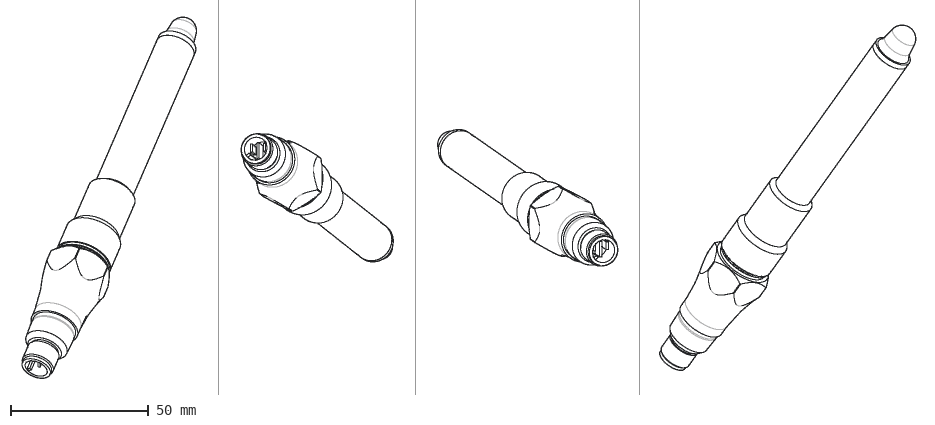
import cadquery as cq
import math

TOTAL_LENGTH = 166.05

SLEEVE_RADIUS = 12.0 / 2
SLEEVE_NOSE_RADIUS = 11.0 / 2
SLEEVE_RELIEF_RADIUS = 10.6 / 2
SLEEVE_CHAMFER_END = 1.75
SLEEVE_CHAMFER_START = 1.25
SLEEVE_END = 8.0
RELIEF_END = 9.25

GLAND_FRONT_RADIUS = 13.0 / 2
GLAND_SHOULDER_RADIUS = 16.0 / 2
GLAND_RADIUS = 16.6 / 2
GLAND_SHOULDER_Y = 11.25
GLAND_TAPER_END = 17.75
GLAND_NECK_RADIUS = 16.4 / 2
GLAND_NECK_START = 18.25
GLAND_NECK_END = 20.0

BODY_RADIUS = 18.0 / 2
BODY_CYLINDER_END = 23.75
FLARE_NARROW_RADIUS = 19.0 / 2
FLARE_NARROW_Y = 29.75
FLARE_WIDE_RADIUS = 10.88
FLARE_WIDE_Y = 37.0

HEX_ACROSS_FLATS = 22.0
HEX_TURNED_RADIUS = 25.2 / 2
HEX_CORNER_START = 42.75
HEX_CORNER_END = 47.5
HEX_BACK = 49.25
HEX_BACK_RADIUS = 10.85

NECK_RADIUS = 19.0 / 2
NECK_STEP_RADIUS = 20.0 / 2
NECK_STEP_START = 50.75
NUT_START = 51.75

NUT_RADIUS = 20.95 / 2
NUT_END = 63.0
NUT_CONE_END = 65.3
BARREL_RADIUS = 18.0 / 2
BARREL_END = 83.0
BARREL_CHAMFER_END = 84.5

TUBE_RADIUS = 14.6 / 2
BAND_RADIUS = 14.55 / 2
BAND_START = 152.75
BAND_END = TOTAL_LENGTH - 11.25

TIP_FLARE_RADIUS = 13.0 / 2
TIP_FLARE_END = TOTAL_LENGTH - 8.25
TIP_CONE_RADIUS = 11.0 / 2
TIP_FLARE_SAG = 0.2
DOME_RADIUS = 5.0
DOME_DEPTH = 3.75

SOCKET_RADIUS = 4.25
SOCKET_DEPTH = 8.0

BLADE_THICKNESS = 0.8
BLADE_TIP_DEPTH = 3.0
SIDE_BLADE_X = 2.5
SIDE_BLADE_BOTTOM = -0.4
SIDE_BLADE_TOP = 2.5
CENTRE_BLADE_REACH = 2.9
BLADES = [
    (-SIDE_BLADE_X, SIDE_BLADE_BOTTOM, SIDE_BLADE_TOP),
    (0, -CENTRE_BLADE_REACH, CENTRE_BLADE_REACH),
    (SIDE_BLADE_X, SIDE_BLADE_BOTTOM, SIDE_BLADE_TOP),
]

KEY_ANGLE = 218
KEY_WIDTH = 1.0
KEY_INNER_RADIUS = 2.9
KEY_START_DEPTH = 0.3


def turned_body():
    dome_centre_y = TOTAL_LENGTH - DOME_RADIUS
    dome_end_angle = math.acos((DOME_RADIUS - DOME_DEPTH) / DOME_RADIUS)

    def dome_point(angle):
        return (DOME_RADIUS * math.sin(angle), dome_centre_y + DOME_RADIUS * math.cos(angle))

    tip_flare_middle = (
        (TIP_FLARE_RADIUS + TIP_CONE_RADIUS) / 2 - TIP_FLARE_SAG,
        (BAND_END + TIP_FLARE_END) / 2,
    )
    flare_points = [
        (FLARE_NARROW_RADIUS, FLARE_NARROW_Y),
        (FLARE_WIDE_RADIUS, FLARE_WIDE_Y),
        (HEX_TURNED_RADIUS, HEX_CORNER_START),
    ]
    profile = (
        cq.Workplane("XY")
        .moveTo(0, 0)
        .lineTo(SLEEVE_NOSE_RADIUS, 0)
        .lineTo(SLEEVE_NOSE_RADIUS, SLEEVE_CHAMFER_START)
        .lineTo(SLEEVE_RADIUS, SLEEVE_CHAMFER_END)
        .lineTo(SLEEVE_RADIUS, SLEEVE_END)
        .lineTo(SLEEVE_RELIEF_RADIUS, SLEEVE_END)
        .lineTo(SLEEVE_RELIEF_RADIUS, RELIEF_END)
        .lineTo(GLAND_FRONT_RADIUS, RELIEF_END)
        .lineTo(GLAND_SHOULDER_RADIUS, GLAND_SHOULDER_Y)
        .lineTo(GLAND_RADIUS, GLAND_TAPER_END)
        .lineTo(GLAND_NECK_RADIUS, GLAND_NECK_START)
        .lineTo(GLAND_NECK_RADIUS, GLAND_NECK_END)
        .lineTo(BODY_RADIUS, GLAND_NECK_END)
        .lineTo(BODY_RADIUS, BODY_CYLINDER_END)
        .spline(flare_points, includeCurrent=True)
        .lineTo(HEX_TURNED_RADIUS, HEX_CORNER_END)
        .lineTo(HEX_BACK_RADIUS, HEX_BACK)
        .lineTo(NECK_RADIUS, HEX_BACK)
        .lineTo(NECK_RADIUS, NECK_STEP_START)
        .lineTo(NECK_STEP_RADIUS, NECK_STEP_START)
        .lineTo(NECK_STEP_RADIUS, NUT_START)
        .lineTo(NUT_RADIUS, NUT_START)
        .lineTo(NUT_RADIUS, NUT_END)
        .lineTo(BARREL_RADIUS, NUT_CONE_END)
        .lineTo(BARREL_RADIUS, BARREL_END)
        .lineTo(TUBE_RADIUS, BARREL_CHAMFER_END)
        .lineTo(TUBE_RADIUS, BAND_START)
        .lineTo(BAND_RADIUS, BAND_START)
        .lineTo(BAND_RADIUS, BAND_END)
        .lineTo(TIP_FLARE_RADIUS, BAND_END)
        .threePointArc(tip_flare_middle, (TIP_CONE_RADIUS, TIP_FLARE_END))
        .lineTo(*dome_point(dome_end_angle))
        .threePointArc(dome_point(dome_end_angle / 2), (0, TOTAL_LENGTH))
        .close()
    )
    return profile.revolve(360, (0, 0, 0), (0, 1, 0))


def hexagon():
    """Hexagonal bar with corners on the Z axis, long enough to hold the whole part."""
    across_corners = HEX_ACROSS_FLATS / math.cos(math.pi / 6)
    return (
        cq.Workplane("XZ")
        .transformed(rotate=(0, 0, 90))
        .polygon(6, across_corners)
        .extrude(-TOTAL_LENGTH)
    )


def socket():
    return cq.Workplane("XZ").circle(SOCKET_RADIUS).extrude(-SOCKET_DEPTH)


def contact_blade(x, bottom, top):
    return (
        cq.Workplane("XZ", origin=(x, BLADE_TIP_DEPTH, (bottom + top) / 2))
        .rect(BLADE_THICKNESS, top - bottom)
        .extrude(BLADE_TIP_DEPTH - SOCKET_DEPTH)
    )


def coding_key():
    outer_radius = (SOCKET_RADIUS + SLEEVE_RELIEF_RADIUS) / 2
    return (
        cq.Workplane("XZ", origin=(0, KEY_START_DEPTH, 0))
        .transformed(rotate=(0, 0, KEY_ANGLE))
        .center((KEY_INNER_RADIUS + outer_radius) / 2, 0)
        .rect(outer_radius - KEY_INNER_RADIUS, KEY_WIDTH)
        .extrude(KEY_START_DEPTH - SOCKET_DEPTH)
    )


result = turned_body().intersect(hexagon()).cut(socket())
for blade in BLADES:
    result = result.union(contact_blade(*blade))
result = result.union(coding_key())